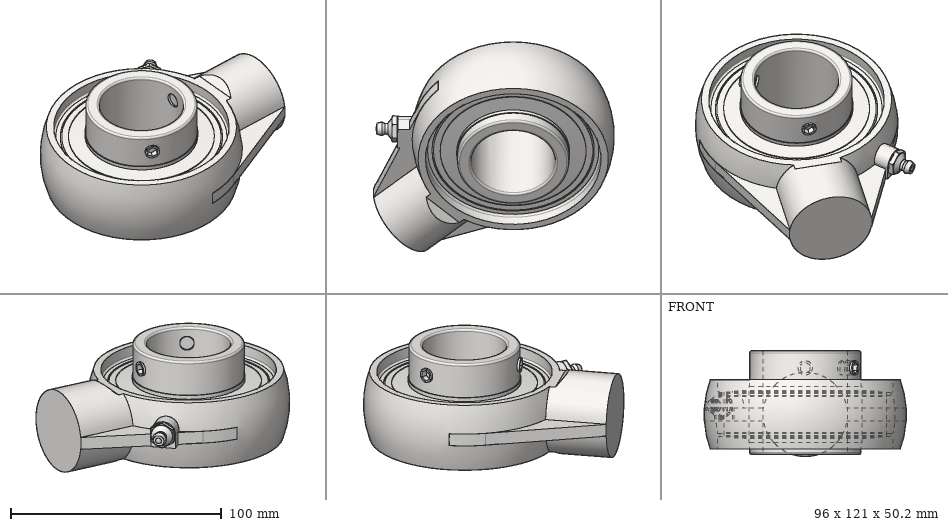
import cadquery as cq
import math


housing_radius = 48.0
housing_width = 33.0
opening_diameter = 83.19
seat_diameter = 85.19

socket_diameter = 40.0
socket_end = 73.0
socket_start = 35.0
shoulder_start = 46.5

web_thickness = 6.0
web_radius = housing_radius + 0.05
web_tail = 3.0

boss_width = 12.0
boss_axis_height = 4.0
boss_face_radius = 54.8
boss_root_radius = 43.0
boss_angle = 135.0

outer_ring_half_width = 10.5
outer_ring_face_radius = 40.6
seat_half_width = 9.0
outer_ring_bore = 77.0

bore_diameter = 40.0
inner_ring_diameter = 52.83
shoulder_diameter = 53.59
shoulder_half_width = 13.3
inner_ring_top = 30.2
inner_ring_bottom = -19.0
inner_ring_rounding = 1.0
bore_rounding = 1.0

shield_rim_radius = 37.8
shield_step_radius = 69.22 / 2
shield_inner_height = 11.4
shield_outer_height = 11.0
shield_rim_height = 10.6
shield_edge_height = 10.0
shield_base_height = 8.5

screw_diameter = 6.78
screw_height = 22.1
screw_inner_end = 20.9
screw_outer_end = 27.4
screw_hex_flats = 4.6
screw_hex_depth = 3.0
screw_angles = (90.0, -30.0)

nipple_hex_flats = 11.0
nipple_hex_start = 0.3
nipple_hex_end = 2.7
nipple_hex_chamfer = 0.4
base_radius = 4.8
cone_radius = 5.2
cone_end = 4.6
cone_end_radius = 2.8
neck_radius = 2.6
neck_end = 6.0
head_radius = 3.3
head_widest = 7.5
tip_radius = 2.6
tip_end = 9.9
ball_radius = 1.4
ball_rise = 0.4


def radial_plane(angle, distance, height):
    """Plane facing outward from the bearing axis, its local X along +Z."""
    direction = (math.cos(math.radians(angle)), math.sin(math.radians(angle)), 0)
    origin = (distance * direction[0], distance * direction[1], height)
    return cq.Plane(origin=origin, xDir=(0, 0, 1), normal=direction)


def hex_across_corners(flats):
    return flats / math.cos(math.radians(30))


def make_seat_core():
    """Solid filling the housing seat: a spherical middle with a short round step at each end."""
    seat_radius = seat_diameter / 2
    seat_end_radius = math.sqrt(seat_radius**2 - seat_half_width**2)
    return (
        cq.Workplane("XZ")
        .moveTo(0, -outer_ring_half_width)
        .lineTo(outer_ring_face_radius, -outer_ring_half_width)
        .lineTo(outer_ring_face_radius, -seat_half_width)
        .lineTo(seat_end_radius, -seat_half_width)
        .threePointArc((seat_radius, 0), (seat_end_radius, seat_half_width))
        .lineTo(outer_ring_face_radius, seat_half_width)
        .lineTo(outer_ring_face_radius, outer_ring_half_width)
        .lineTo(0, outer_ring_half_width)
        .close()
        .revolve(360, (0, 0, 0), (0, 1, 0))
    )


def make_socket():
    radius = socket_diameter / 2
    half_width = housing_width / 2
    shoulder_end = shoulder_start + radius - half_width
    barrel = (
        cq.Workplane("XZ", origin=(0, socket_end, 0))
        .circle(radius)
        .extrude(socket_end - socket_start)
    )
    side_outline = (
        cq.Workplane("YZ")
        .moveTo(socket_start, -half_width)
        .lineTo(shoulder_start, -half_width)
        .lineTo(shoulder_end, -radius)
        .lineTo(socket_end, -radius)
        .lineTo(socket_end, radius)
        .lineTo(shoulder_end, radius)
        .lineTo(shoulder_start, half_width)
        .lineTo(socket_start, half_width)
        .close()
        .extrude(radius, both=True)
    )
    return barrel.intersect(side_outline)


def make_webs():
    """Flat plate tangent to the housing and running out to the corners of the socket face."""
    corner_x = socket_diameter / 2
    corner_distance = math.hypot(corner_x, socket_end)
    tangent_angle = math.atan2(socket_end, corner_x) - math.acos(web_radius / corner_distance)
    middle_angle = (tangent_angle + math.asin(web_tail / web_radius)) / 2
    tangent_x = web_radius * math.cos(tangent_angle)
    tangent_y = web_radius * math.sin(tangent_angle)
    middle_x = web_radius * math.cos(middle_angle)
    middle_y = web_radius * math.sin(middle_angle)
    tail_x = math.sqrt(web_radius**2 - web_tail**2)
    return (
        cq.Workplane("XY")
        .moveTo(-corner_x, socket_end)
        .lineTo(corner_x, socket_end)
        .lineTo(tangent_x, tangent_y)
        .threePointArc((middle_x, middle_y), (tail_x, web_tail))
        .lineTo(-tail_x, web_tail)
        .threePointArc((-middle_x, middle_y), (-tangent_x, tangent_y))
        .close()
        .extrude(web_thickness / 2, both=True)
    )


def make_nipple_boss():
    """Half-round pad, squared off below down to the underside of the webs."""
    length = boss_face_radius - boss_root_radius
    foot = boss_axis_height + web_thickness / 2
    face = radial_plane(boss_angle, boss_face_radius, boss_axis_height)
    round_part = cq.Workplane(face).circle(boss_width / 2).extrude(-length)
    square_part = (
        cq.Workplane(face)
        .center(-foot / 2, 0)
        .rect(foot, boss_width)
        .extrude(-length)
    )
    return round_part.union(square_part)


def make_housing():
    slab = cq.Workplane("XY").circle(housing_radius + 1).extrude(housing_width / 2, both=True)
    body = cq.Workplane("XY").sphere(housing_radius).intersect(slab)
    body = body.union(make_webs()).union(make_socket()).union(make_nipple_boss())
    return body.cut(make_seat_core()).cut(make_opening(1)).cut(make_opening(-1))


def make_opening(side):
    """Mouth of the housing, its wall curving in to the face of the outer ring; side is +1 or -1 in Z."""
    wall_radius = opening_diameter / 2
    fillet = wall_radius - outer_ring_face_radius
    floor = outer_ring_half_width
    middle = fillet * math.sin(math.radians(45))
    return (
        cq.Workplane("XZ")
        .moveTo(0, side * floor)
        .lineTo(outer_ring_face_radius, side * floor)
        .threePointArc(
            (outer_ring_face_radius + middle, side * (floor + fillet - middle)),
            (wall_radius, side * (floor + fillet)),
        )
        .lineTo(wall_radius, side * housing_width)
        .lineTo(0, side * housing_width)
        .close()
        .revolve(360, (0, 0, 0), (0, 1, 0))
    )


def make_outer_ring():
    bore = cq.Workplane("XY").circle(outer_ring_bore / 2).extrude(outer_ring_half_width, both=True)
    return make_seat_core().cut(bore)


def make_screw(angle):
    inner_plane = radial_plane(angle, screw_inner_end, screw_height)
    outer_plane = radial_plane(angle, screw_outer_end, screw_height)
    body = cq.Workplane(inner_plane).circle(screw_diameter / 2).extrude(screw_outer_end - screw_inner_end)
    drive = (
        cq.Workplane(outer_plane)
        .polygon(6, hex_across_corners(screw_hex_flats))
        .extrude(-screw_hex_depth)
    )
    return body.cut(drive)


def make_inner_ring():
    length = inner_ring_top - inner_ring_bottom
    sleeve = (
        cq.Workplane("XY", origin=(0, 0, inner_ring_bottom))
        .circle(inner_ring_diameter / 2)
        .extrude(length)
        .faces("|Z")
        .edges()
        .fillet(inner_ring_rounding)
    )
    shoulder = cq.Workplane("XY").circle(shoulder_diameter / 2).extrude(shoulder_half_width, both=True)
    bore = cq.Workplane("XY").circle(bore_diameter / 2).extrude(length, both=True)
    ring = sleeve.union(shoulder).cut(bore)
    bore_edges = cq.selectors.RadiusNthSelector(0)
    ring = ring.faces("<Z or >Z").edges(bore_edges).fillet(bore_rounding)
    for angle in screw_angles:
        screw_hole = (
            cq.Workplane(radial_plane(angle, 0, screw_height))
            .circle(screw_diameter / 2)
            .extrude(inner_ring_diameter)
        )
        ring = ring.cut(screw_hole)
    return ring


def make_shield(side):
    """Dished cover between the rings; side is +1 above and -1 below."""
    outer_radius = outer_ring_bore / 2
    inner_radius = shoulder_diameter / 2
    return (
        cq.Workplane("XZ")
        .moveTo(inner_radius, side * shield_base_height)
        .lineTo(outer_radius, side * shield_base_height)
        .lineTo(outer_radius, side * shield_edge_height)
        .lineTo(shield_rim_radius, side * shield_rim_height)
        .lineTo(shield_step_radius, side * shield_rim_height)
        .lineTo(shield_step_radius, side * shield_outer_height)
        .lineTo(inner_radius, side * shield_inner_height)
        .close()
        .revolve(360, (0, 0, 0), (0, 1, 0))
    )


def make_nipple():
    face = radial_plane(boss_angle, boss_face_radius, boss_axis_height)
    corners = hex_across_corners(nipple_hex_flats)
    prism = cq.Workplane(face).workplane(offset=nipple_hex_start).polygon(6, corners)
    prism = prism.extrude(nipple_hex_end - nipple_hex_start)
    corner_trim = cq.Workplane(face).circle(corners / 2).extrude(nipple_hex_end)
    outer_face = cq.selectors.DirectionMinMaxSelector(face.zDir)
    corner_trim = corner_trim.faces(outer_face).chamfer(nipple_hex_chamfer)
    hexagon = prism.intersect(corner_trim)
    along_axis = cq.Plane(origin=face.origin, xDir=(0, 0, 1), normal=face.yDir * -1)
    dome_radius = (ball_radius**2 + ball_rise**2) / (2 * ball_rise)
    stem = (
        cq.Workplane(along_axis)
        .lineTo(base_radius, 0)
        .lineTo(base_radius, nipple_hex_end)
        .lineTo(cone_radius, nipple_hex_end)
        .lineTo(cone_end_radius, cone_end)
        .lineTo(neck_radius, cone_end)
        .lineTo(neck_radius, neck_end)
        .lineTo(head_radius, head_widest)
        .lineTo(tip_radius, tip_end)
        .lineTo(ball_radius, tip_end)
        .radiusArc((0, tip_end + ball_rise), -dome_radius)
        .close()
        .revolve(360, (0, 0, 0), (0, 1, 0))
    )
    return hexagon.union(stem)


housing = make_housing()
outer_ring = make_outer_ring()
inner_ring = make_inner_ring()
shields = [make_shield(side) for side in (1, -1)]
screws = [make_screw(angle) for angle in screw_angles]
nipple = make_nipple()

result = cq.Compound.makeCompound([
    housing.val(),
    outer_ring.val(),
    inner_ring.val(),
    *[shield.val() for shield in shields],
    *[screw.val() for screw in screws],
    nipple.val(),
])